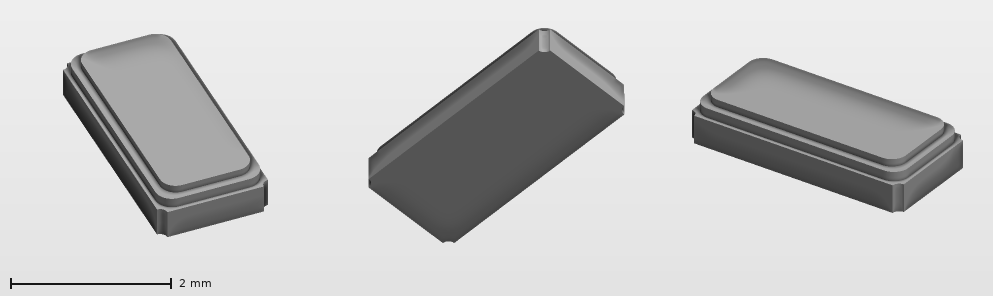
import cadquery as cq

length = 3.2
width = 1.5
height = 0.64

base_height = 0.4
notch_radius = 0.1

ring_inset = 0.05
ring_height = 0.135
ring_corner_radius = 0.22

lid_inset = 0.15
lid_height = height - base_height - ring_height
lid_corner_radius = 0.21


def notched_base():
    """Rectangular block with a round notch centred on each corner."""
    block = cq.Workplane("XY").rect(length, width).extrude(base_height)
    notches = (
        cq.Workplane("XY")
        .rect(length, width, forConstruction=True)
        .vertices()
        .circle(notch_radius)
        .extrude(base_height)
    )
    return block.cut(notches)


def rounded_plate(inset, bottom, thickness, corner_radius):
    """Plate with rounded corners, inset evenly from the base outline."""
    return (
        cq.Workplane("XY")
        .workplane(offset=bottom)
        .rect(length - 2 * inset, width - 2 * inset)
        .extrude(thickness)
        .edges("|Z")
        .fillet(corner_radius)
    )


seal_ring = rounded_plate(ring_inset, base_height, ring_height, ring_corner_radius)
lid = rounded_plate(lid_inset, base_height + ring_height, lid_height, lid_corner_radius)

result = notched_base().union(seal_ring).union(lid)